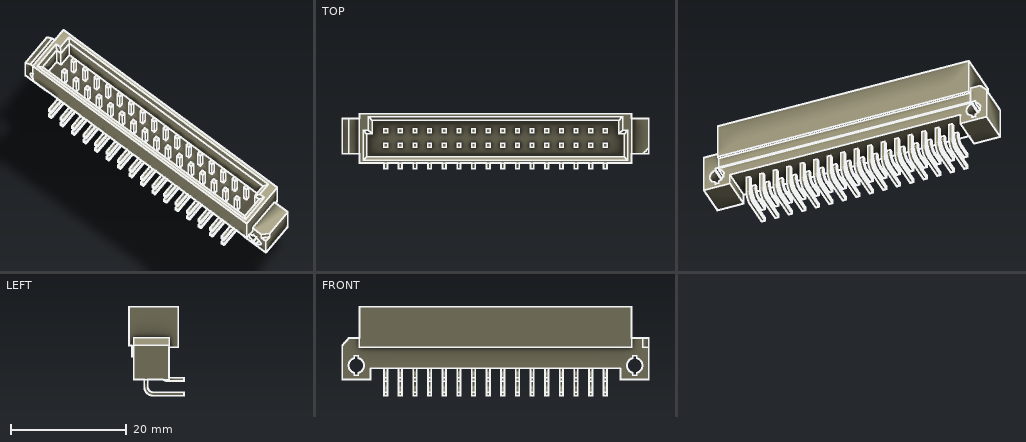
import cadquery as cq


overall_length = 53.21
overall_width = 9.56
overall_height = 15.48

body_height = 10.73
shroud_top = body_height
pin_bottom = shroud_top - overall_height
shroud_front_bottom = shroud_top - 7.07
shroud_back_bottom = shroud_top - 6.75
ear_top = shroud_top - 5.44
foot_bottom = -1.94

shroud_length = 47.26
shroud_back = 4.22
shroud_front = -4.36

rim_back = 0.53
rim_front = 0.46
rim_end = 0.65
key_width = 0.95
key_depth = 2.88
lead_in = 0.64
cavity_depth = 6.3

body_back = 3.4
body_front = -2.75
ear_chamfer_x = 1.17
ear_chamfer_z = 1.3
foot_length = 4.93
back_rib_depth = 0.29
back_rib_height = 1.95
corner_notch_x = 1.05
corner_notch_y = 1.05

hole_inset = 2.46
hole_diameter = 2.64
hole_height = 0.52
hole_slot_width = 0.68
hole_slot_height = 3.36

pin_count = 16
pitch = 2.54
pin_size = 0.64
pin_top = shroud_top - 1.4
bend_inner_radius = 0.97
bend_radius = bend_inner_radius + pin_size / 2
pin_tip = shroud_back - overall_width

half_length = overall_length / 2
half_shroud = shroud_length / 2


def box(x_range, y_range, z_range):
    """Axis-aligned block between the given limits."""
    size = [high - low for low, high in (x_range, y_range, z_range)]
    corner = (x_range[0], y_range[0], z_range[0])
    return cq.Workplane("XY").box(*size, centered=False).translate(corner)


def make_body():
    """Base bar with both ears and feet, chamfered at the upper -X corner."""
    foot_inner = half_length - foot_length
    outline = [
        (-half_length, foot_bottom),
        (-foot_inner, foot_bottom),
        (-foot_inner, 0),
        (foot_inner, 0),
        (foot_inner, foot_bottom),
        (half_length, foot_bottom),
        (half_length, ear_top),
        (-half_length + ear_chamfer_x, ear_top),
        (-half_length, ear_top - ear_chamfer_z),
    ]
    bar = cq.Workplane("XZ", origin=(0, body_back, 0)).polyline(outline).close()
    body = bar.extrude(body_back - body_front)
    back_rib = box(
        (-half_shroud, half_shroud),
        (body_front, body_back + back_rib_depth),
        (shroud_back_bottom - back_rib_height, shroud_back_bottom),
    )
    return body.union(back_rib)


def make_corner_notch():
    """Triangular notch in the upper front corner of the +X ear."""
    corners = [
        (half_length, body_front),
        (half_length - corner_notch_x, body_front),
        (half_length, body_front + corner_notch_y),
    ]
    base = cq.Workplane("XY", origin=(0, 0, shroud_front_bottom))
    return base.polyline(corners).close().extrude(ear_top - shroud_front_bottom)


def make_shroud():
    """Solid shroud block whose overhang is shallower at the back."""
    outline = [
        (shroud_front, shroud_front_bottom),
        (body_back, shroud_front_bottom),
        (body_back, shroud_back_bottom),
        (shroud_back, shroud_back_bottom),
        (shroud_back, shroud_top),
        (shroud_front, shroud_top),
    ]
    profile = cq.Workplane("YZ", origin=(-half_shroud, 0, 0)).polyline(outline).close()
    return profile.extrude(shroud_length)


def cavity_outline(inset):
    """Cavity outline with a key in both back corners, moved inwards by inset."""
    wide = half_shroud - rim_end - inset
    narrow = wide - key_width
    front = shroud_front + rim_front + inset
    back = shroud_back - rim_back - inset
    step = shroud_back - key_depth - inset
    return [
        (-wide, front),
        (wide, front),
        (wide, step),
        (narrow, step),
        (narrow, back),
        (-narrow, back),
        (-narrow, step),
        (-wide, step),
    ]


def make_cavity():
    """Straight cavity plus the sloping lead-in around its rim."""
    rim = cq.Workplane("XY", origin=(0, 0, shroud_top))
    straight = rim.polyline(cavity_outline(lead_in)).close().extrude(-cavity_depth)
    slope = (
        rim.polyline(cavity_outline(0)).close()
        .workplane(offset=-lead_in)
        .polyline(cavity_outline(lead_in)).close()
        .loft(ruled=True)
    )
    return straight.union(slope)


def make_mounting_hole(x):
    """Through hole along Y with a small slot above and below."""
    face = cq.Workplane("XZ", origin=(x, body_back, hole_height))
    depth = body_back - body_front
    bore = face.circle(hole_diameter / 2).extrude(depth)
    slot = face.rect(hole_slot_width, hole_slot_height).extrude(depth)
    return bore.union(slot)


def make_pin(x, row_y, tail_z):
    """Square pin running down at row_y, then bent forwards at height tail_z."""
    bend_top = tail_z + bend_radius
    path = (
        cq.Workplane("YZ", origin=(x, 0, 0))
        .moveTo(row_y, pin_top)
        .lineTo(row_y, bend_top)
        .radiusArc((row_y - bend_radius, tail_z), bend_radius)
        .lineTo(pin_tip, tail_z)
    )
    section = cq.Workplane("XY", origin=(x, row_y, pin_top)).rect(pin_size, pin_size)
    return section.sweep(path)


def make_pins():
    """Both rows of pins; the front row's tails lie one pitch higher."""
    lower_tail = pin_bottom + pin_size / 2
    rows = [(pitch / 2, lower_tail), (-pitch / 2, lower_tail + pitch)]
    first_x = -(pin_count - 1) * pitch / 2
    pins = []
    for index in range(pin_count):
        for row_y, tail_z in rows:
            pins.append(make_pin(first_x + index * pitch, row_y, tail_z).val())
    return pins


housing = make_body().union(make_shroud()).cut(make_cavity()).cut(make_corner_notch())
for side in (-1, 1):
    housing = housing.cut(make_mounting_hole(side * (half_length - hole_inset)))

result = cq.Workplane(housing.val().fuse(*make_pins()))